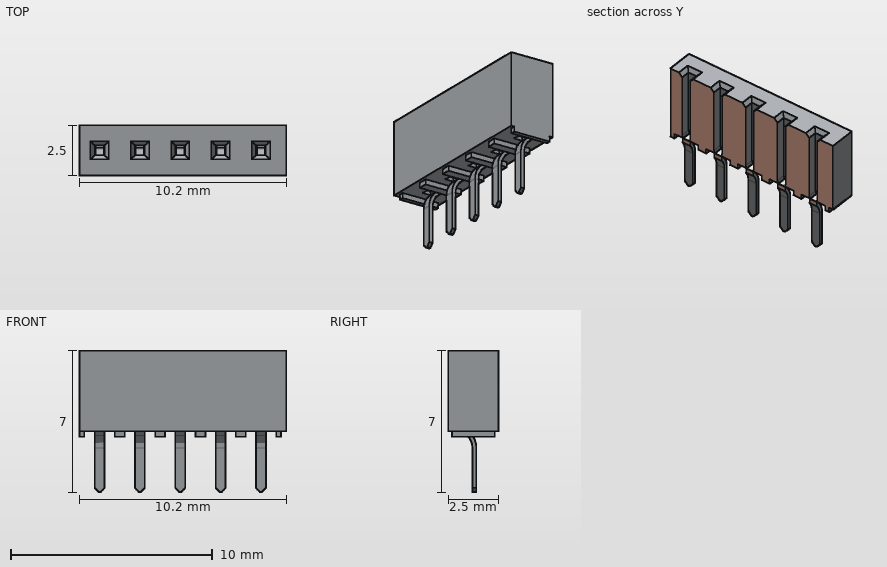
import cadquery as cq
import math

pin_count = 5
pitch = 2.0
body_length = 10.25
body_depth = 2.5
body_height = 4.0
first_pin_x = pitch / 2

rib_width = 0.5
rib_height = 0.28
rib_inset = 0.18
rib_depth = body_depth - 2 * rib_inset

funnel_width = 0.9
funnel_depth = 0.2
socket_width = 0.49
socket_floor_width = 0.39
taper_height = 0.2

overall_height = 7.0
pin_width = 0.5
pin_thickness = 0.2
pin_center_y = 0.05
tip_flat = 0.1
tip_height = 0.2
bend_start_z = -0.82
bend_inner_radius = 0.85
bend_angle = 48.0
root_length = 0.36

pin_bottom_z = body_height - overall_height
pin_front_y = pin_center_y - pin_thickness / 2
pin_back_y = pin_center_y + pin_thickness / 2


def make_housing():
    """Plain block standing on Z = 0, centred on Y, starting at X = 0."""
    return cq.Workplane("XY").box(
        body_length, body_depth, body_height, centered=(False, True, False)
    )


def make_ribs():
    """Ribs halfway between the pins; the two outermost ones are half as wide."""
    ribs = cq.Workplane("XY")
    for i in range(pin_count + 1):
        left = max(i * pitch - rib_width / 2, 0)
        right = min(i * pitch + rib_width / 2, pin_count * pitch)
        rib = (
            cq.Workplane("XY")
            .box(right - left, rib_depth, rib_height, centered=(False, True, False))
            .translate((left, 0, -rib_height))
        )
        ribs = ribs.add(rib)
    return ribs.combine()


def make_socket(x):
    """Hole through the housing: square funnel, square shaft, short taper along X at the floor."""
    funnel = (
        cq.Workplane("XY", origin=(x, 0, body_height))
        .rect(funnel_width, funnel_width)
        .workplane(offset=-funnel_depth)
        .rect(socket_width, socket_width)
        .loft(ruled=True)
    )
    shaft = (
        cq.Workplane("XY", origin=(x, 0, taper_height))
        .rect(socket_width, socket_width)
        .extrude(body_height - funnel_depth - taper_height)
    )
    taper = (
        cq.Workplane("XY", origin=(x, 0, taper_height))
        .rect(socket_width, socket_width)
        .workplane(offset=-taper_height)
        .rect(socket_floor_width, socket_width)
        .loft(ruled=True)
    )
    return funnel.union(shaft).union(taper)


def make_pin(x):
    """Flat pin: pointed straight leg, then a bend leaning toward -Y into the housing floor."""
    bend_center_y = pin_front_y - bend_inner_radius
    bend_outer_radius = bend_inner_radius + pin_thickness

    def bend_point(radius, degrees, along=0.0):
        """Point (Y, Z) on the bend, optionally moved along the tangent there."""
        angle = math.radians(degrees)
        y = bend_center_y + radius * math.cos(angle) - along * math.sin(angle)
        z = bend_start_z + radius * math.sin(angle) + along * math.cos(angle)
        return (y, z)

    side = (
        cq.Workplane("YZ", origin=(x - pin_width / 2, 0, 0))
        .moveTo(pin_front_y, pin_bottom_z)
        .lineTo(pin_back_y, pin_bottom_z)
        .lineTo(pin_back_y, bend_start_z)
        .threePointArc(
            bend_point(bend_outer_radius, bend_angle / 2),
            bend_point(bend_outer_radius, bend_angle),
        )
        .lineTo(*bend_point(bend_outer_radius, bend_angle, root_length))
        .lineTo(*bend_point(bend_inner_radius, bend_angle, root_length))
        .lineTo(*bend_point(bend_inner_radius, bend_angle))
        .threePointArc(bend_point(bend_inner_radius, bend_angle / 2), (pin_front_y, bend_start_z))
        .close()
        .extrude(pin_width)
    )
    front = (
        cq.Workplane("XZ", origin=(x, body_depth / 2, 0))
        .moveTo(-tip_flat / 2, pin_bottom_z)
        .lineTo(tip_flat / 2, pin_bottom_z)
        .lineTo(pin_width / 2, pin_bottom_z + tip_height)
        .lineTo(pin_width / 2, body_height)
        .lineTo(-pin_width / 2, body_height)
        .lineTo(-pin_width / 2, pin_bottom_z + tip_height)
        .close()
        .extrude(body_depth)
    )
    return side.intersect(front)


result = make_housing().union(make_ribs())
for i in range(pin_count):
    pin_x = first_pin_x + i * pitch
    result = result.cut(make_socket(pin_x)).union(make_pin(pin_x))